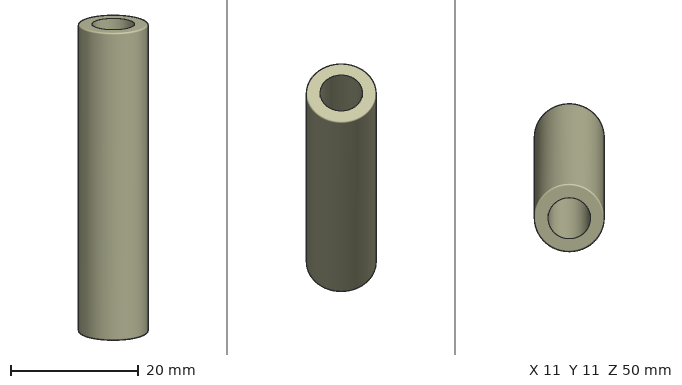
import cadquery as cq

length = 50.0
outer_diameter = 11.0
bore_diameter = 6.65
rim_radius = 0.25

rod = cq.Workplane("XY").circle(outer_diameter / 2).extrude(length)
rounded_rod = rod.faces("<Z or >Z").edges().fillet(rim_radius)

result = rounded_rod.faces(">Z").workplane().hole(bore_diameter)